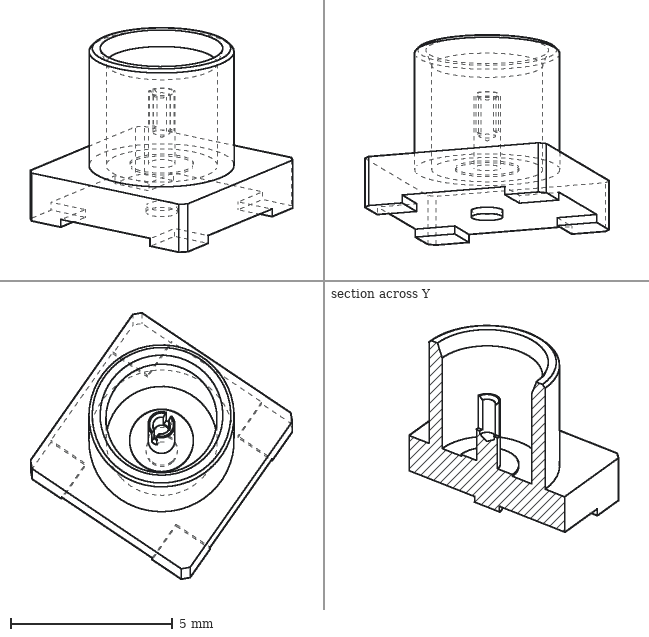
import cadquery as cq

base_side = 6.0
base_height = 1.56
corner_chamfer = 0.2
pad_side = 1.3
pad_height = 0.25

total_height = 5.36
barrel_radius = 2.25
rim_chamfer = 0.1
bore_radius = 1.72
bore_mouth_radius = 1.9
bore_bevel_depth = 0.48

insulator_radius = 0.99
insulator_step = 0.06

contact_radius = 0.415
contact_top = total_height - 1.41
socket_mouth_radius = 0.37
socket_radius = 0.265
socket_depth = 1.32
socket_cone_depth = 0.155
slot_width = 0.2
slot_depth = 1.2
tail_radius = 0.485
tail_bottom = 0.05


def cylinder(radius, bottom, top):
    """Cylinder on the Z axis between two heights."""
    return cq.Workplane("XY").workplane(offset=bottom).circle(radius).extrude(top - bottom)


def make_base():
    """Square block with chamfered edges, standing on four corner pads."""
    block = cq.Workplane("XY").box(base_side, base_side, base_height, centered=(True, True, False))
    block = block.edges("|Z").chamfer(corner_chamfer)
    channel_width = base_side - 2 * pad_side
    for length, width in ((base_side, channel_width), (channel_width, base_side)):
        channel = cq.Workplane("XY").box(length, width, pad_height, centered=(True, True, False))
        block = block.cut(channel)
    return block


def make_barrel():
    """Open tube with a chamfered rim and a tapered mouth."""
    profile = [
        (bore_radius, base_height),
        (barrel_radius, base_height),
        (barrel_radius, total_height - rim_chamfer),
        (barrel_radius - rim_chamfer, total_height),
        (bore_mouth_radius, total_height),
        (bore_radius, total_height - bore_bevel_depth),
    ]
    return cq.Workplane("XZ").polyline(profile).close().revolve(360, (0, 0), (0, 1))


def make_contact():
    """Slotted socket contact with a flared mouth and a conical hole bottom."""
    contact = cylinder(contact_radius, base_height, contact_top)
    flare_depth = socket_mouth_radius - socket_radius
    hole_bottom = contact_top - socket_depth
    hole_profile = [
        (0, hole_bottom - socket_cone_depth),
        (socket_radius, hole_bottom),
        (socket_radius, contact_top - flare_depth),
        (socket_mouth_radius, contact_top),
        (0, contact_top),
    ]
    hole = cq.Workplane("XZ").polyline(hole_profile).close().revolve(360, (0, 0), (0, 1))
    slot = (
        cq.Workplane("XY")
        .workplane(offset=contact_top - slot_depth)
        .rect(2 * bore_radius, slot_width)
        .extrude(slot_depth)
    )
    return contact.cut(hole).cut(slot)


insulator = cylinder(insulator_radius, base_height, base_height + insulator_step)
tail = cylinder(tail_radius, tail_bottom, base_height)

result = make_base().union(make_barrel()).union(insulator).union(make_contact()).union(tail)